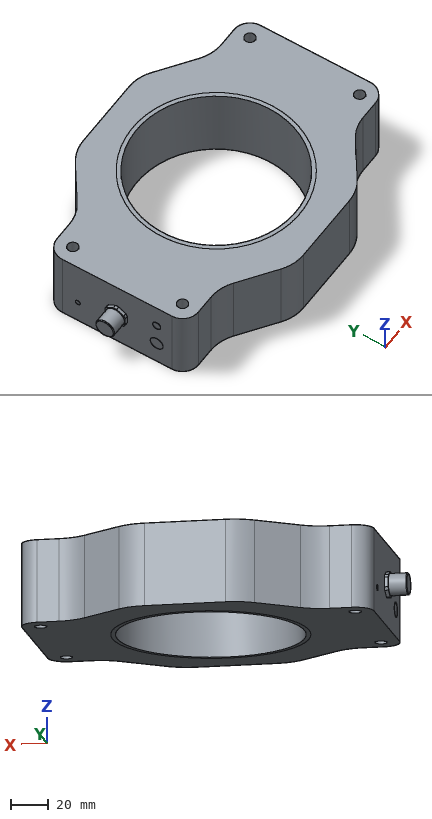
import cadquery as cq

OVERALL_LENGTH = 202.0
HOUSING_LENGTH = 190.0
HOUSING_WIDTH = 140.0
HEIGHT = 45.0

END_WIDTH = 89.9
WIDE_FLAT_LENGTH = 60.0
TAPER_FOOT_SPACING = 129.9
TAPER_BLEND_RADIUS = 25.0
END_CORNER_RADIUS = 10.0

MOUNTING_HOLE_DIAMETER = 6.5
MOUNTING_HOLE_SPACING_X = HOUSING_LENGTH - 2 * END_CORNER_RADIUS
MOUNTING_HOLE_SPACING_Y = END_WIDTH - 2 * END_CORNER_RADIUS

RING_OUTER_DIAMETER = 106.0
RING_INNER_DIAMETER = 101.0

RECESS_DEPTH = 0.2
RECESS_OFFSET_Y = 25.0
RECESS_OFFSET_Z = 7.5
RECESSES = [
    (3.0, RECESS_OFFSET_Y, -RECESS_OFFSET_Z),
    (5.0, -RECESS_OFFSET_Y, RECESS_OFFSET_Z),
    (8.0, -RECESS_OFFSET_Y, -RECESS_OFFSET_Z),
]

CONNECTOR_LENGTH = OVERALL_LENGTH - HOUSING_LENGTH
BARREL_DIAMETER = 12.0
BARREL_TIP_CHAMFER = 0.5
NUT_THICKNESS = 2.0
NUT_ACROSS_FLATS = 13.0
NUT_ROUNDED_DIAMETER = 14.0

CONNECTOR_FACE_X = -HOUSING_LENGTH / 2


def connector_face_plane():
    """Plane on the -X end face, local x along -Y, local y along +Z, normal along -X."""
    return cq.Workplane(cq.Plane((CONNECTOR_FACE_X, 0, 0), xDir=(0, -1, 0), normal=(-1, 0, 0)))


def base_plane():
    """Plane of the underside; the part is centred on the origin in height."""
    return cq.Workplane("XY", origin=(0, 0, -HEIGHT / 2))


def full_height_cylinder(diameter):
    return base_plane().circle(diameter / 2).extrude(HEIGHT)


def vertical_edges_at(x, y):
    """Selector for the four vertical edges mirrored about both centre planes."""
    selector = None
    for sign_x in (-1, 1):
        for sign_y in (-1, 1):
            edge = cq.selectors.NearestToPointSelector((sign_x * x, sign_y * y, 0))
            selector = edge if selector is None else selector + edge
    return selector


def make_housing_blank():
    quarter_corners = [
        (HOUSING_LENGTH / 2, END_WIDTH / 2),
        (TAPER_FOOT_SPACING / 2, END_WIDTH / 2),
        (WIDE_FLAT_LENGTH / 2, HOUSING_WIDTH / 2),
    ]
    upper_half = quarter_corners + [(-x, y) for x, y in reversed(quarter_corners)]
    outline = upper_half + [(x, -y) for x, y in reversed(upper_half)]
    blank = base_plane().polyline(outline).close().extrude(HEIGHT)

    end_corner, taper_foot, taper_top = [vertical_edges_at(x, y) for x, y in quarter_corners]
    blank = blank.edges(taper_top + taper_foot).fillet(TAPER_BLEND_RADIUS)
    return blank.edges(end_corner).fillet(END_CORNER_RADIUS)


def make_housing():
    housing = make_housing_blank().cut(full_height_cylinder(RING_OUTER_DIAMETER))

    mounting_holes = (
        base_plane()
        .rarray(MOUNTING_HOLE_SPACING_X, MOUNTING_HOLE_SPACING_Y, 2, 2)
        .circle(MOUNTING_HOLE_DIAMETER / 2)
        .extrude(HEIGHT)
    )
    housing = housing.cut(mounting_holes)

    for diameter, y, z in RECESSES:
        recess = connector_face_plane().center(-y, z).circle(diameter / 2).extrude(-RECESS_DEPTH)
        housing = housing.cut(recess)
    return housing


def make_ring():
    return full_height_cylinder(RING_OUTER_DIAMETER).cut(full_height_cylinder(RING_INNER_DIAMETER))


def make_connector():
    hexagon = (
        connector_face_plane()
        .polygon(6, NUT_ACROSS_FLATS, circumscribed=True)
        .extrude(NUT_THICKNESS)
    )
    turned_blank = connector_face_plane().circle(NUT_ROUNDED_DIAMETER / 2).extrude(NUT_THICKNESS)
    nut = hexagon.intersect(turned_blank)

    barrel = connector_face_plane().circle(BARREL_DIAMETER / 2).extrude(CONNECTOR_LENGTH)
    barrel = barrel.faces("<X").chamfer(BARREL_TIP_CHAMFER)
    return nut.union(barrel)


housing = make_housing().solids()
ring = make_ring().solids()
connector = make_connector().solids()

result = cq.Compound.makeCompound([housing.val(), ring.val(), connector.val()])